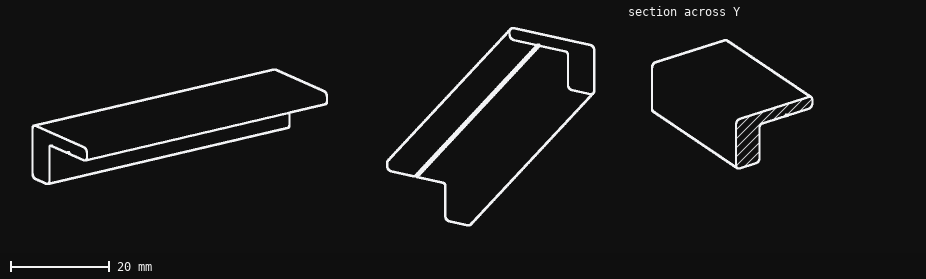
import cadquery as cq

width = 18.8
length = 60.0
height = 11.4

leg_thickness = 5.9
flange_thickness = 2.8
flange_underside = height - flange_thickness

outer_radius = 1.0
inner_radius = 0.5

groove_radius = 0.25
groove_offset_from_leg = 6.5
groove_x = leg_thickness + groove_offset_from_leg


def make_bar():
    """L-shaped bar: a leg on the -X side and a flange along the top."""
    section = (
        cq.Workplane("XZ")
        .moveTo(0, 0)
        .lineTo(leg_thickness, 0)
        .lineTo(leg_thickness, flange_underside)
        .lineTo(width, flange_underside)
        .lineTo(width, height)
        .lineTo(0, height)
        .close()
    )
    return section.extrude(-length)


def round_corners(bar):
    """Round the five outer edges and the inner corner between leg and flange."""
    corner_point = (leg_thickness, length / 2, flange_underside)
    inner_corner = cq.selectors.NearestToPointSelector(corner_point)
    long_edges = cq.selectors.ParallelDirSelector(cq.Vector(0, 1, 0))
    rounded = bar.edges(long_edges - inner_corner).fillet(outer_radius)
    return rounded.edges(inner_corner).fillet(inner_radius)


def make_groove():
    """Round cutter centred on the flange underside, so it leaves a half-round groove."""
    section = cq.Workplane("XZ").center(groove_x, flange_underside).circle(groove_radius)
    return section.extrude(-length)


result = round_corners(make_bar()).cut(make_groove())